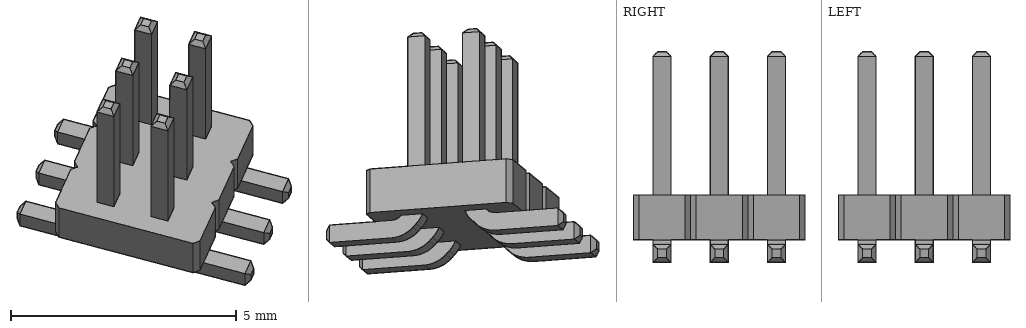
import cadquery as cq
import math

total_length = 5.5

pitch = 1.27
row_count = 3
row_positions = [(i - (row_count - 1) / 2) * pitch for i in range(row_count)]

body_width = 3.4
body_height = 1.0
body_chamfer = 0.12
body_bottom = 0.5

pin_size = 0.4
tip_chamfer = 0.105
pin_top = 4.68

bend_radius = 0.5
foot_bend_start = 1.21
bend_angle = math.radians(45)


def make_body():
    """Row of chamfered blocks; their corners leave V notches between the rows."""
    block = (
        cq.Workplane("XY")
        .box(body_width, pitch, body_height, centered=(True, True, False))
        .edges("|Z")
        .chamfer(body_chamfer)
    )
    body = cq.Workplane("XY")
    for y in row_positions:
        body = body.union(block.translate((0, y, body_bottom)))
    return body.clean()


def make_left_pin():
    """Pin of the -X column, from the foot tip through the bend to the upper tip."""
    foot_tip_x = -total_length / 2
    foot_z = pin_size / 2
    post_x = -pitch / 2

    turn_along = bend_radius * math.sin(bend_angle)
    turn_away = bend_radius * (1 - math.cos(bend_angle))

    foot_end = (-foot_bend_start, foot_z)
    slope_start = (foot_end[0] + turn_along, foot_z + turn_away)
    slope_end_x = post_x - turn_away
    slope_rise = (slope_end_x - slope_start[0]) * math.tan(bend_angle)
    slope_end = (slope_end_x, slope_start[1] + slope_rise)
    post_start = (post_x, slope_end[1] + turn_along)

    centreline = (
        cq.Workplane("XZ")
        .moveTo(foot_tip_x, foot_z)
        .lineTo(*foot_end)
        .tangentArcPoint(slope_start, relative=False)
        .lineTo(*slope_end)
        .tangentArcPoint(post_start, relative=False)
        .lineTo(post_x, pin_top)
    )
    pin = (
        cq.Workplane("YZ", origin=(foot_tip_x, 0, foot_z))
        .rect(pin_size, pin_size)
        .sweep(centreline)
    )
    return pin.faces("<X or >Z").chamfer(tip_chamfer)


left_pin = make_left_pin()
right_pin = left_pin.mirror("YZ")

result = make_body()
for y in row_positions:
    for pin in (left_pin, right_pin):
        result = result.union(pin.translate((0, y, 0)))